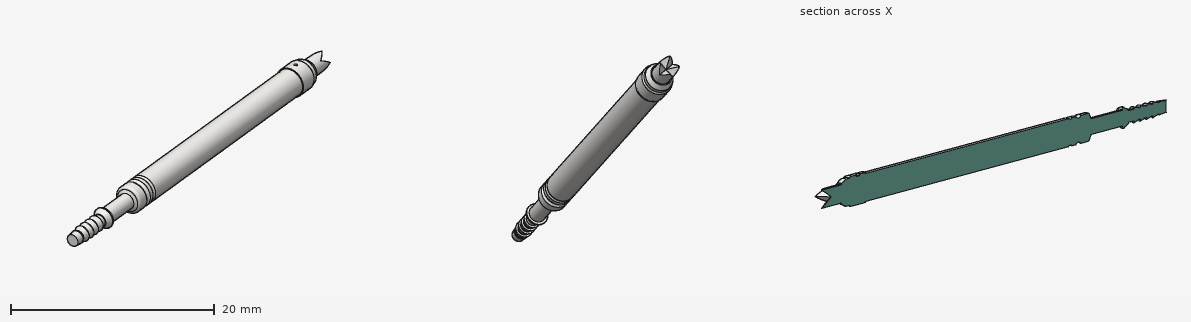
import cadquery as cq
import math

LENGTH = 42.7
TIP_Y = LENGTH / 2

PLUNGER_R = 1.0
CROWN_DEPTH = 1.2
NOTCH_ANGLES = (45, 135)
NOTCH_OVERSHOOT = 1.2
PLUNGER_LENGTH = 2.48

NOSE_FRONT_R = 1.1
NOSE_R = 1.45
NOSE_CONE_END = 3.05
NOSE_END = 3.45
COLLAR_R = 1.6
COLLAR_START = 3.65
COLLAR_END = 5.45

DIMPLE_R = 0.15
DIMPLE_DEPTH = 0.15
DIMPLE_AT = 4.53

TUBE_R = 1.5
TUBE_END = 33.25
TUBE_END_ROUND = 0.3
TUBE_CONE_LENGTH = 0.15
FRONT_GROOVE_AT = 30.85
FRONT_GROOVE_WIDTH = 0.43
FRONT_GROOVE_DEPTH = 0.105
REAR_GROOVE_AT = 31.8
REAR_GROOVE_WIDTH = 0.6
REAR_GROOVE_DEPTH = 0.2

ROD_R = 0.85
FLANGE_R = 1.1
FLANGE_START = 37.28
FLANGE_RIM_WIDTH = 0.15
FLANGE_CONE_END = 38.05
FLANGE_CONE_END_R = 0.73

TAIL_R = 0.65
BARB_R = 0.85
BARB_START = 38.7
BARB_PITCH = 0.79
BARB_LENGTH = 0.65
BARB_COUNT = 4
END_BARB_R = 0.73


def station(distance):
    """Y coordinate at a distance behind the crown tips."""
    return TIP_Y - distance


def add_groove(outline, centre, width, depth):
    """Extend a tube outline over a round-bottomed ring groove."""
    outline = outline.lineTo(TUBE_R, station(centre - width / 2))
    bottom = (TUBE_R - depth, station(centre))
    return outline.threePointArc(bottom, (TUBE_R, station(centre + width / 2)))


def add_barb(outline, start, radius):
    """Extend a tail outline over a barb that rises sharply and tapers rearward."""
    outline = outline.lineTo(TAIL_R, station(start)).lineTo(radius, station(start))
    return outline.lineTo(TAIL_R, station(start + BARB_LENGTH))


def make_body():
    """Turned body: half outline followed from the crown to the tail, revolved about Y."""
    outline = (
        cq.Workplane("XY")
        .moveTo(0, TIP_Y)
        .lineTo(PLUNGER_R, TIP_Y)
        .lineTo(PLUNGER_R, station(PLUNGER_LENGTH))
        .lineTo(NOSE_FRONT_R, station(PLUNGER_LENGTH))
        .lineTo(NOSE_R, station(NOSE_CONE_END))
        .lineTo(NOSE_R, station(NOSE_END))
        .lineTo(COLLAR_R, station(COLLAR_START))
        .lineTo(COLLAR_R, station(COLLAR_END))
        .lineTo(TUBE_R, station(COLLAR_END))
    )
    outline = add_groove(outline, FRONT_GROOVE_AT, FRONT_GROOVE_WIDTH, FRONT_GROOVE_DEPTH)
    outline = add_groove(outline, REAR_GROOVE_AT, REAR_GROOVE_WIDTH, REAR_GROOVE_DEPTH)
    arc_inset = TUBE_END_ROUND * (1 - math.sqrt(0.5))
    outline = (
        outline.lineTo(TUBE_R, station(TUBE_END - TUBE_END_ROUND))
        .threePointArc(
            (TUBE_R - arc_inset, station(TUBE_END - arc_inset)),
            (TUBE_R - TUBE_END_ROUND, station(TUBE_END)),
        )
        .lineTo(ROD_R, station(TUBE_END + TUBE_CONE_LENGTH))
        .lineTo(ROD_R, station(FLANGE_START))
        .lineTo(FLANGE_R, station(FLANGE_START))
        .lineTo(FLANGE_R, station(FLANGE_START + FLANGE_RIM_WIDTH))
        .lineTo(FLANGE_CONE_END_R, station(FLANGE_CONE_END))
        .lineTo(TAIL_R, station(FLANGE_CONE_END))
    )
    for index in range(BARB_COUNT):
        outline = add_barb(outline, BARB_START + index * BARB_PITCH, BARB_R)
    end_barb_start = BARB_START + BARB_COUNT * BARB_PITCH
    outline = (
        outline.lineTo(TAIL_R, station(end_barb_start))
        .lineTo(END_BARB_R, station(end_barb_start))
        .lineTo(TAIL_R, station(LENGTH))
        .lineTo(0, station(LENGTH))
        .close()
    )
    return outline.revolve(360, (0, 0, 0), (0, 1, 0))


def make_crown_notch(angle):
    """V prism across the crown; its flanks reach the front end at the tooth tips."""
    half_width_at_tips = PLUNGER_R * math.sqrt(0.5)
    half_width = half_width_at_tips * NOTCH_OVERSHOOT
    top_y = station(CROWN_DEPTH * (1 - NOTCH_OVERSHOOT))
    prism = (
        cq.Workplane("XY")
        .moveTo(0, station(CROWN_DEPTH))
        .lineTo(half_width, top_y)
        .lineTo(-half_width, top_y)
        .close()
        .extrude(2 * PLUNGER_R, both=True)
    )
    return prism.rotate((0, 0, 0), (0, 1, 0), angle)


def make_dimple():
    """Round blind pit in the top of the collar."""
    return (
        cq.Workplane("XY", origin=(0, station(DIMPLE_AT), COLLAR_R - DIMPLE_DEPTH))
        .circle(DIMPLE_R)
        .extrude(2 * DIMPLE_DEPTH)
    )


result = make_body().cut(make_dimple())
for notch_angle in NOTCH_ANGLES:
    result = result.cut(make_crown_notch(notch_angle))